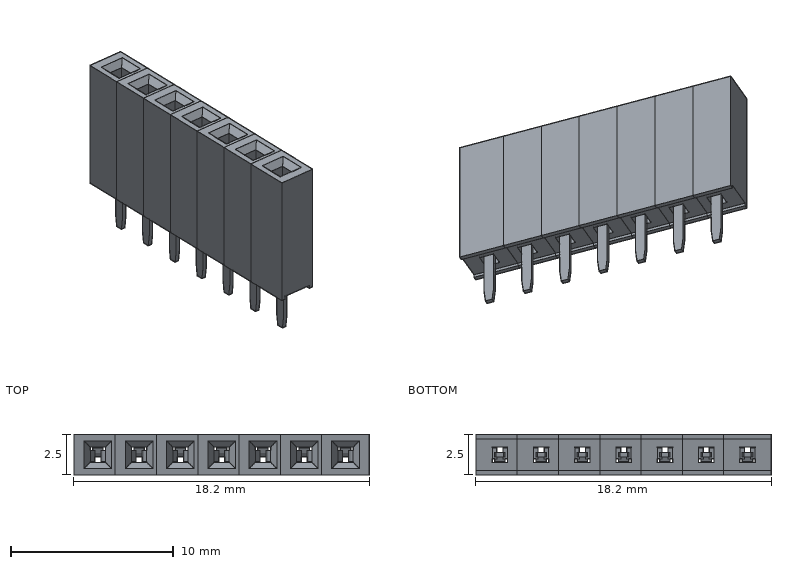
import cadquery as cq
import math

module_count = 7
pitch = 2.54
seam_wall = 0.4
module_width = pitch + seam_wall
row_length = module_count * pitch + seam_wall

housing_depth = 2.5
housing_height = 8.5

relief_width = 1.95
relief_height = 0.2

entry_width = 1.7
well_width = 0.93
funnel_height = (entry_width - well_width) / 2

tail_width = 0.65
tail_thickness = 0.28
tail_length = 3.0
tip_width = 0.45
tip_height = 0.8

shoulder_height = 3.5
tongue_tilt = 10.0
bend_inner_radius = 0.06
tongue_back = 0.42

jaw_front = -0.42
jaw_back = 0.26
jaw_gap = 0.36
jaw_knee_gap = 0.62
jaw_base = 3.0
jaw_throat = 5.0
jaw_lower_slope = 69.0
jaw_upper_slope = 57.0


def box(x_min, x_max, depth, z_min, z_max):
    """Block between two X planes and two Z planes, centred on Y = 0."""
    return (
        cq.Workplane("XY")
        .box(x_max - x_min, depth, z_max - z_min, centered=(False, True, False))
        .translate((x_min, 0, z_min))
    )


def make_shell(index):
    """Outer block of a module; X = 0 is its contact axis."""
    left = -module_width / 2
    is_last = index == module_count - 1
    right = left + (module_width if is_last else pitch)
    if index == 0:
        return box(left, right, housing_depth, 0, housing_height)
    wall_end = left + seam_wall
    wall = box(left, wall_end, housing_depth, 0, housing_height)
    socket = box(wall_end, right, housing_depth, 0, housing_height)
    return wall.union(socket, clean=False)


def make_cavity():
    """Funnel and straight well, open from top to bottom."""
    funnel = (
        cq.Workplane("XY", origin=(0, 0, housing_height))
        .rect(entry_width, entry_width)
        .workplane(offset=-funnel_height)
        .rect(well_width, well_width)
        .loft(ruled=True)
    )
    well = box(-well_width / 2, well_width / 2, well_width, 0, housing_height - funnel_height)
    return funnel.union(well)


def make_tail():
    """Flat blade from the shoulder down to its tapered tip."""
    half, half_tip = tail_width / 2, tip_width / 2
    outline = [
        (-half, shoulder_height),
        (half, shoulder_height),
        (half, tip_height - tail_length),
        (half_tip, -tail_length),
        (-half_tip, -tail_length),
        (-half, tip_height - tail_length),
    ]
    return cq.Workplane("XZ").polyline(outline).close().extrude(tail_thickness / 2, both=True)


def make_tongue():
    """Bend to the rear on top of the blade, with the rising tongue behind it."""
    pivot_y = tail_thickness / 2 + bend_inner_radius
    tilt = math.radians(tongue_tilt)
    bend_sweep = math.pi / 2 - tilt
    bend_outer_radius = bend_inner_radius + tail_thickness

    def bend_point(radius, angle):
        return (
            pivot_y - radius * math.cos(angle),
            shoulder_height + radius * math.sin(angle),
        )

    def tongue_end(bend_end):
        run = tongue_back - bend_end[0]
        return (tongue_back, bend_end[1] + run * math.tan(tilt))

    outer_end = bend_point(bend_outer_radius, bend_sweep)
    inner_end = bend_point(bend_inner_radius, bend_sweep)
    return (
        cq.Workplane("YZ")
        .moveTo(*bend_point(bend_outer_radius, 0))
        .threePointArc(bend_point(bend_outer_radius, bend_sweep / 2), outer_end)
        .lineTo(*tongue_end(outer_end))
        .lineTo(*tongue_end(inner_end))
        .lineTo(*inner_end)
        .threePointArc(bend_point(bend_inner_radius, bend_sweep / 2), bend_point(bend_inner_radius, 0))
        .close()
        .extrude(tail_width / 2, both=True)
    )


def make_jaw(side):
    """Jaw on the wall at side = -1 or +1, flaring outward in two slopes to the top."""
    lower_rise = (jaw_knee_gap - jaw_gap) / 2 * math.tan(math.radians(jaw_lower_slope))
    upper_rise = (well_width - jaw_knee_gap) / 2 * math.tan(math.radians(jaw_upper_slope))
    jaw_knee = jaw_throat + lower_rise
    jaw_top = jaw_knee + upper_rise
    wall_x = side * well_width / 2
    outline = [
        (wall_x, jaw_base),
        (side * jaw_gap / 2, jaw_base),
        (side * jaw_gap / 2, jaw_throat),
        (side * jaw_knee_gap / 2, jaw_knee),
        (wall_x, jaw_top),
    ]
    return (
        cq.Workplane("XZ", origin=(0, jaw_back, 0))
        .polyline(outline)
        .close()
        .extrude(jaw_back - jaw_front)
    )


def make_module(index):
    """Housing block with its contact, as one solid."""
    relief = box(-module_width, module_width, relief_width, 0, relief_height)
    module = make_shell(index).cut(make_cavity(), clean=False).cut(relief, clean=False)
    contact = make_tail().union(make_tongue())
    for side in (-1, 1):
        contact = contact.union(make_jaw(side))
    module = module.union(contact, clean=False)
    contact_x = (module_width - row_length) / 2 + index * pitch
    return module.translate((contact_x, 0, 0))


modules = [make_module(index).solids().val() for index in range(module_count)]
result = cq.Compound.makeCompound(modules)